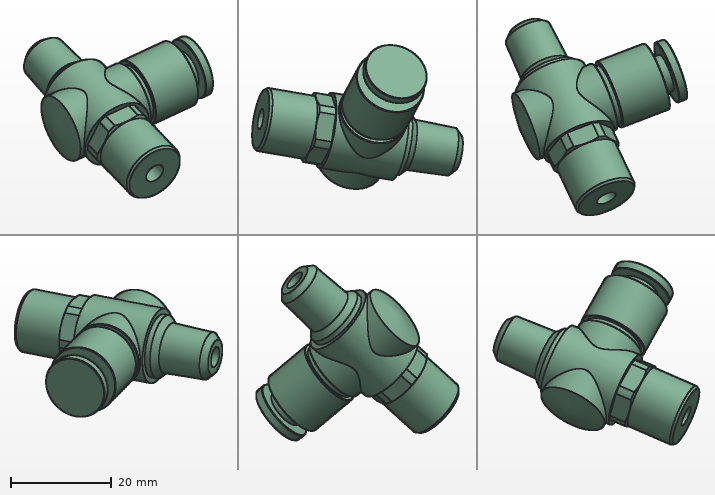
import cadquery as cq
import math


body_radius = 7.6
body_half_length = 7.5

tip_x = -20.0
tip_radius = 3.55
tip_chamfer_length = 1.3
taper_small_radius = 4.85
taper_end_x = -10.0
taper_large_radius = 5.12
collar_radius = 6.45
collar_cone_length = 1.35

overall_length = 41.0
hex_across_flats = 12.9
hex_across_corners = hex_across_flats / math.cos(math.pi / 6)
hex_corner_radius = 7.0
hex_end_x = 11.15
hex_chamfer_length = 0.33
spigot_radius = 6.4
spigot_end_x = tip_x + overall_length
spigot_chamfer_length = 0.55
spigot_chamfer_depth = 0.35

bore_radius = 2.05

branch_radius = 7.05
cone_apex_y = -9.85
cone_base_y = -8.45
groove_start_y = 8.45
groove_end_y = 9.55
groove_radius = 6.25
sleeve_end_y = 19.8
neck_radius = 3.85
cap_start_y = 21.98
cap_end_y = 23.82
cap_radius = 6.4
edge_chamfer = 0.12


def revolve_about_x(profile):
    """Revolve a closed outline of (x, radius) points about the X axis."""
    return cq.Workplane("XY").polyline(profile).close().revolve(360, (0, 0), (1, 0))


def revolve_about_y(profile):
    """Revolve a closed outline of (radius, y) points about the Y axis."""
    return cq.Workplane("XY").polyline(profile).close().revolve(360, (0, 0), (0, 1))


def make_run():
    """Male end, collar, central body and spigot as one turned solid."""
    return revolve_about_x([
        (tip_x, 0),
        (tip_x, tip_radius),
        (tip_x + tip_chamfer_length, taper_small_radius),
        (taper_end_x, taper_large_radius),
        (taper_end_x + collar_cone_length, collar_radius),
        (-body_half_length, collar_radius),
        (-body_half_length, body_radius),
        (body_half_length, body_radius),
        (body_half_length, spigot_radius),
        (spigot_end_x - spigot_chamfer_length, spigot_radius),
        (spigot_end_x, spigot_radius - spigot_chamfer_depth),
        (spigot_end_x, 0),
    ])


def make_hexagon():
    """Hexagon with corners on +Y and -Y, turned down and chamfered at its outer end."""
    prism = (
        cq.Workplane("YZ")
        .polygon(6, hex_across_corners)
        .extrude(hex_end_x)
    )
    turned_blank = revolve_about_x([
        (0, 0),
        (0, hex_corner_radius),
        (hex_end_x - hex_chamfer_length, hex_corner_radius),
        (hex_end_x, spigot_radius),
        (hex_end_x, 0),
    ])
    return prism.intersect(turned_blank)


def make_branch():
    """Branch with a conical -Y end and a grooved sleeve, neck and cap on +Y."""
    return revolve_about_y([
        (0, cone_apex_y),
        (branch_radius, cone_base_y),
        (branch_radius, groove_start_y - edge_chamfer),
        (branch_radius - edge_chamfer, groove_start_y),
        (groove_radius, groove_start_y),
        (groove_radius, groove_end_y),
        (branch_radius - edge_chamfer, groove_end_y),
        (branch_radius, groove_end_y + edge_chamfer),
        (branch_radius, sleeve_end_y - edge_chamfer),
        (branch_radius - edge_chamfer, sleeve_end_y),
        (neck_radius, sleeve_end_y),
        (neck_radius, cap_start_y),
        (cap_radius - edge_chamfer, cap_start_y),
        (cap_radius, cap_start_y + edge_chamfer),
        (cap_radius, cap_end_y - edge_chamfer),
        (cap_radius - edge_chamfer, cap_end_y),
        (0, cap_end_y),
    ])


def make_bore():
    """Cylinder that opens the run from end to end."""
    return cq.Workplane("YZ", origin=(tip_x, 0, 0)).circle(bore_radius).extrude(overall_length)


result = make_run().union(make_hexagon()).union(make_branch()).cut(make_bore())